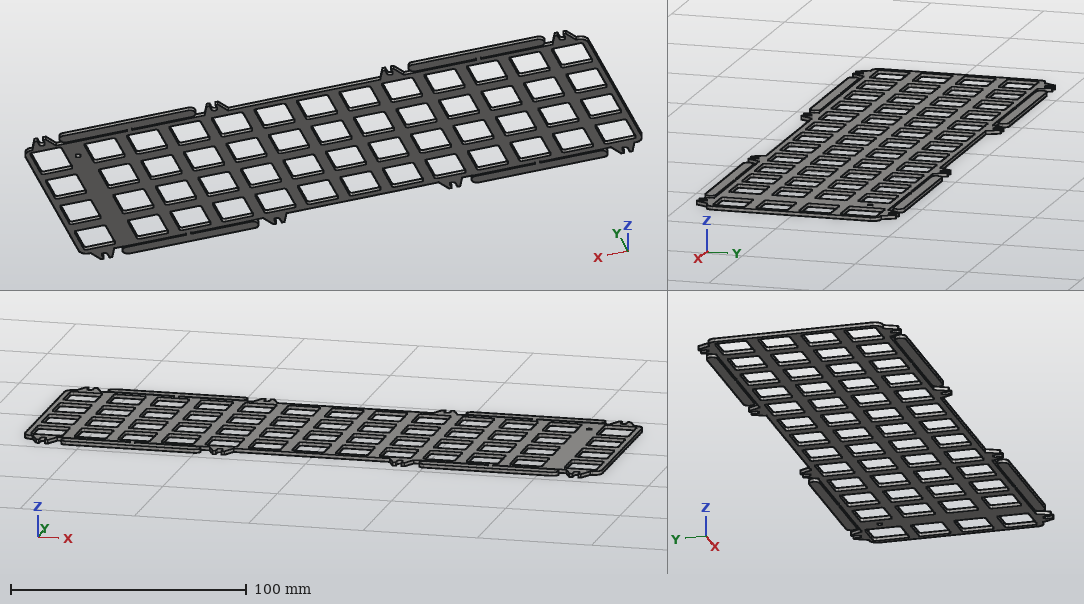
import cadquery as cq

length = 252.5
overall_width = 88.0
thickness = 1.6
plate_width = 77.0
corner_radius = 3.5

length_in_pitches = 13.25
pitch = length / length_in_pitches
rows = 4
main_columns = 12
last_column_offset = length_in_pitches - 1
web_width = 5.0
key_size = pitch - web_width
key_corner_radius = 1.0
tall_key_height = 16.0
tall_key_rise = 0.3

hole_diameter = 2.2
hole_column_offset = (main_columns - 1 + last_column_offset) / 2

lug_positions = (-116.5, -39.5, 39.5, 116.5)
lug_base_width = 10.5
lug_tip_width = 5.0
lug_slot_width = 2.5
lug_slot_depth = 3.8

strip_positions = (-78.2, 78.2)
strip_length = 60.8
strip_width = 4.8
strip_corner_radius = 2.37
bridge_width = 2.3

edge_y = plate_width / 2
outer_y = overall_width / 2
first_column_x = (pitch - length) / 2
first_row_y = -pitch * (rows - 1) / 2


def rounded_blocks(centers, size_x, size_y, radius):
    """Equal full-thickness blocks with rounded vertical edges, one at each center."""
    blocks = cq.Workplane("XY").pushPoints(centers).rect(size_x, size_y).extrude(thickness)
    return blocks.edges("|Z").fillet(radius)


def lug(center_x):
    """Tapered lug on the +Y edge, split by a round-bottomed slot open at the tip."""
    slot_radius = lug_slot_width / 2
    slot_bottom_y = outer_y - lug_slot_depth
    slot_side_y = slot_bottom_y + slot_radius
    return (
        cq.Workplane("XY")
        .center(center_x, 0)
        .moveTo(-lug_base_width / 2, edge_y)
        .lineTo(-lug_tip_width / 2, outer_y)
        .lineTo(-slot_radius, outer_y)
        .lineTo(-slot_radius, slot_side_y)
        .threePointArc((0, slot_bottom_y), (slot_radius, slot_side_y))
        .lineTo(slot_radius, outer_y)
        .lineTo(lug_tip_width / 2, outer_y)
        .lineTo(lug_base_width / 2, edge_y)
        .close()
        .extrude(thickness)
    )


def strip(center_x):
    """Strip beside the +Y edge, held by one narrow bridge at its middle."""
    center_y = outer_y - strip_width / 2
    bar = rounded_blocks([(center_x, center_y)], strip_length, strip_width, strip_corner_radius)
    bridge = (
        cq.Workplane("XY")
        .center(center_x, (edge_y + center_y) / 2)
        .rect(bridge_width, center_y - edge_y)
        .extrude(thickness)
    )
    return bar.union(bridge)


result = rounded_blocks([(0, 0)], length, plate_width, corner_radius)
edge_features = [lug(x) for x in lug_positions] + [strip(x) for x in strip_positions]
for feature in edge_features:
    result = result.union(feature).union(feature.mirror("XZ"))

column_offsets = list(range(main_columns)) + [last_column_offset]
key_centers = [
    (first_column_x + offset * pitch, first_row_y + row * pitch)
    for offset in column_offsets
    for row in range(rows)
]
tall_key_x, top_row_y = key_centers.pop()
tall_key_center = (tall_key_x, top_row_y + tall_key_rise)
result = result.cut(rounded_blocks(key_centers, key_size, key_size, key_corner_radius))
result = result.cut(rounded_blocks([tall_key_center], key_size, tall_key_height, key_corner_radius))

hole_x = first_column_x + hole_column_offset * pitch
hole = cq.Workplane("XY").center(hole_x, top_row_y).circle(hole_diameter / 2).extrude(thickness)
result = result.cut(hole)